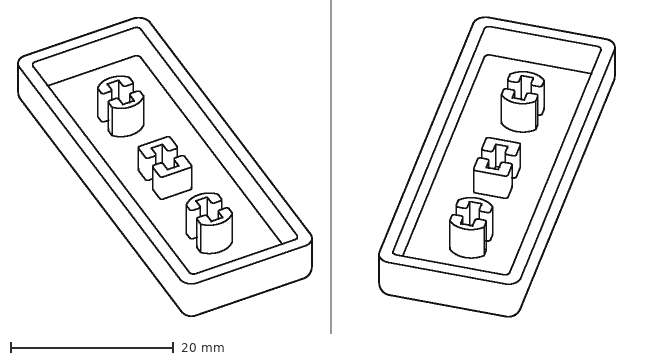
import cadquery as cq

length = 46.6
width = 18.05
height = 6.3
wall = 1.6
floor = wall
outer_radius = wall
cavity_radius = 0.6

stem_depth = 4.4
stem_edge_radius = 0.33
socket_width = 1.55
slit = 1.45
stem_overlap = 0.45
stem_base = floor - stem_overlap

center_stem_length = 6.3
center_stem_height = 3.7
center_socket_length = 4.4

side_stem_diameter = 5.87
side_stem_height = height - floor
side_socket_length = 4.2
side_stem_offset = 12.0


def block(size_x, size_y, size_z, base=0.0):
    """Box centred on X and Y whose underside lies at the given base height."""
    return cq.Workplane("XY", origin=(0, 0, base)).box(size_x, size_y, size_z, centered=(True, True, False))


def make_tray():
    """Open box with rounded upright corners and a rounded bottom edge."""
    body = block(length, width, height).edges("|Z").fillet(outer_radius)
    body = body.faces("<Z").edges().fillet(outer_radius)
    cavity = block(length - 2 * wall, width - 2 * wall, height - floor, floor).edges("|Z").fillet(cavity_radius)
    return body.cut(cavity)


def split_stem(blank, stem_height, socket_length):
    """Cut a cross-shaped socket through a blank, leaving two C-shaped halves with rounded lips."""
    halves = blank.cut(block(slit, stem_depth, stem_height))
    halves = halves.cut(block(socket_length, socket_width, stem_height))
    lip_zone = cq.selectors.BoxSelector((-slit, -stem_depth, 0), (slit, stem_depth, stem_height))
    return halves.edges("|Z").edges(lip_zone).fillet(stem_edge_radius)


def make_center_stem():
    """Rectangular stem, lower than the rim."""
    full_height = center_stem_height + stem_overlap
    blank = block(center_stem_length, stem_depth, full_height).edges("|Z").fillet(stem_edge_radius)
    return split_stem(blank, full_height, center_socket_length)


def make_side_stem():
    """Round stem with flat front and back faces."""
    full_height = side_stem_height + stem_overlap
    round_bar = cq.Workplane("XY").circle(side_stem_diameter / 2).extrude(full_height)
    blank = round_bar.intersect(block(side_stem_diameter, stem_depth, full_height))
    return split_stem(blank, full_height, side_socket_length)


result = make_tray().union(make_center_stem().translate((0, 0, stem_base)))
for x in (-side_stem_offset, side_stem_offset):
    result = result.union(make_side_stem().translate((x, 0, stem_base)))